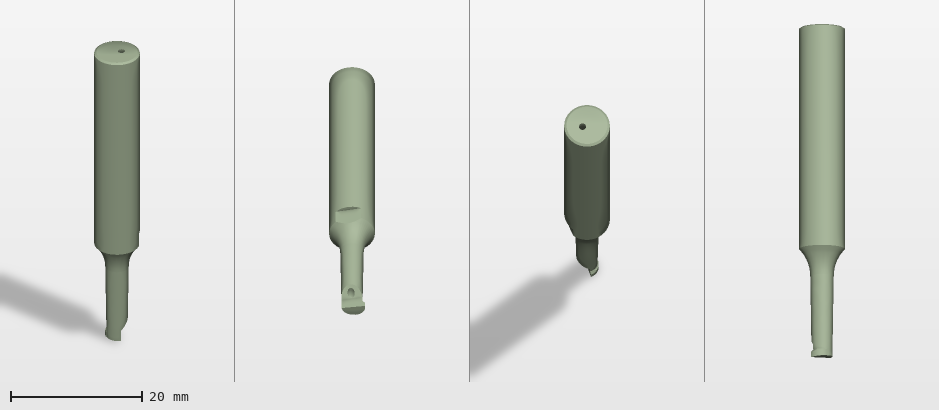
import cadquery as cq
import math

total_length = 51.3
shank_radius = 3.5
top_chamfer_width = 0.35
top_chamfer_height = 0.2

shank_bottom = 17.0
neck_top = 12.75
neck_radius = 1.8
neck_end_radius = 1.6

flat_y = 2.85
flat_top = 19.25

rake_face_y = 0.05
slope_start = 2.0

hole_y = 0.7
hole_radius = 0.54

tooth_reach = 2.0
tooth_radius = 1.7
tooth_height = 1.2
tooth_bevel = 0.35
tooth_end_x = -0.2
end_relief_angle = 4

cut_size = 4 * shank_radius


def make_body():
    """Revolve the shank, concave transition and slightly tapered neck."""
    rise = shank_bottom - neck_top
    step = shank_radius - neck_radius
    arc_radius = (rise**2 + step**2) / (2 * step)
    half_angle = math.asin(rise / arc_radius) / 2
    arc_middle = (
        neck_radius + arc_radius * (1 - math.cos(half_angle)),
        neck_top + arc_radius * math.sin(half_angle),
    )
    return (
        cq.Workplane("XZ")
        .lineTo(neck_end_radius, 0)
        .lineTo(neck_radius, neck_top)
        .threePointArc(arc_middle, (shank_radius, shank_bottom))
        .lineTo(shank_radius, total_length - top_chamfer_height)
        .lineTo(shank_radius - top_chamfer_width, total_length)
        .lineTo(0, total_length)
        .close()
        .revolve(360, (0, 0, 0), (0, 1, 0))
    )


def make_tooth():
    """Make the side of the eccentric disc that projects past the neck."""
    disc = (
        cq.Workplane("XY")
        .center(tooth_radius - tooth_reach, 0)
        .circle(tooth_radius)
        .extrude(tooth_height)
    )
    bevel = (
        cq.Workplane("XZ")
        .moveTo(-tooth_reach, tooth_height)
        .lineTo(-tooth_reach, tooth_height - tooth_bevel)
        .lineTo(-tooth_reach + tooth_bevel, tooth_height)
        .close()
        .extrude(tooth_radius, both=True)
    )
    kept_side = cq.Workplane("XY").box(cut_size, cut_size, cut_size).translate(
        (tooth_end_x - cut_size / 2, 0, 0)
    )
    return disc.cut(bevel).intersect(kept_side)


def make_flat_cutter():
    return (
        cq.Workplane("XY")
        .box(cut_size, cut_size, flat_top, centered=(True, False, False))
        .translate((0, flat_y, 0))
    )


def make_rake_cutter():
    """Remove the +Y half of the end, up to the 45 degree slope."""
    return (
        cq.Workplane("YZ")
        .moveTo(rake_face_y, -cut_size)
        .lineTo(rake_face_y, slope_start)
        .lineTo(rake_face_y + cut_size, slope_start + cut_size)
        .lineTo(rake_face_y + cut_size, -cut_size)
        .close()
        .extrude(shank_radius, both=True)
    )


def make_end_relief_cutter():
    """Tilt the end face so that it rises from the tip toward +X and -Y."""
    return (
        cq.Workplane("XY")
        .box(cut_size, cut_size, cut_size)
        .translate((0, 0, -cut_size / 2))
        .rotate((0, 0, 0), (0, 1, 0), -end_relief_angle)
        .rotate((0, 0, 0), (1, 0, 0), -end_relief_angle)
        .translate((-tooth_reach, rake_face_y, 0))
    )


coolant_hole = cq.Workplane("XY").center(0, hole_y).circle(hole_radius).extrude(total_length)

result = (
    make_body()
    .union(make_tooth())
    .cut(make_flat_cutter())
    .cut(make_rake_cutter())
    .cut(make_end_relief_cutter())
    .cut(coolant_hole)
)